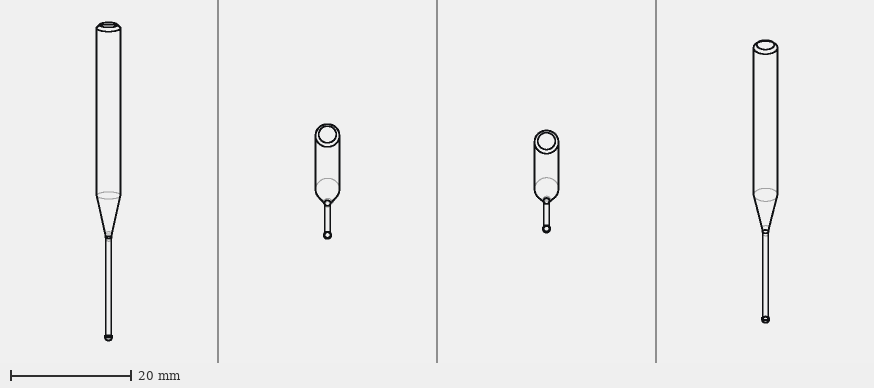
import cadquery as cq
import math

total_length = 55.0
shank_radius = 4.0 / 2
shank_chamfer = 0.55

rod_radius = 0.485
blend_bottom_z = 17.5
blend_height = 1.3
cone_half_angle = math.radians(12)
blend_radius = blend_height / math.sin(cone_half_angle)
blend_top_z = blend_bottom_z + blend_height

joint_z = 18.0

ball_radius = 0.6
head_land = 0.15
head_top_z = ball_radius + head_land


def blend_radius_at(z):
    """Distance of the blend surface from the axis at height z."""
    depth = math.sqrt(blend_radius**2 - (z - blend_bottom_z) ** 2)
    return rod_radius + blend_radius - depth


def blend_point(z):
    return (blend_radius_at(z), z)


cone_top_z = blend_top_z + (shank_radius - blend_radius_at(blend_top_z)) / math.tan(cone_half_angle)


def revolve_about_z(profile):
    """Revolve a closed (radius, z) profile into one solid."""
    axis_start = (0, 0)
    axis_end = (0, 1)
    return profile.close().revolve(360, axis_start, axis_end)


def make_shank():
    """Chamfered cylinder, taper cone and the upper part of the blend."""
    profile = (
        cq.Workplane("XZ")
        .moveTo(0, total_length)
        .lineTo(shank_radius - shank_chamfer, total_length)
        .lineTo(shank_radius, total_length - shank_chamfer)
        .lineTo(shank_radius, cone_top_z)
        .lineTo(*blend_point(blend_top_z))
        .threePointArc(blend_point((blend_top_z + joint_z) / 2), blend_point(joint_z))
        .lineTo(0, joint_z)
    )
    return revolve_about_z(profile)


def make_cutter():
    """Lower part of the blend, thin rod and ball-ended head."""
    arc_middle = ball_radius * math.sqrt(0.5)
    profile = (
        cq.Workplane("XZ")
        .moveTo(0, joint_z)
        .lineTo(*blend_point(joint_z))
        .threePointArc(blend_point((joint_z + blend_bottom_z) / 2), blend_point(blend_bottom_z))
        .lineTo(rod_radius, head_top_z)
        .lineTo(ball_radius, head_top_z)
        .lineTo(ball_radius, ball_radius)
        .threePointArc((arc_middle, ball_radius - arc_middle), (0, 0))
    )
    return revolve_about_z(profile)


shank = make_shank()
cutter = make_cutter()

result = cq.Compound.makeCompound([shank.val(), cutter.val()])